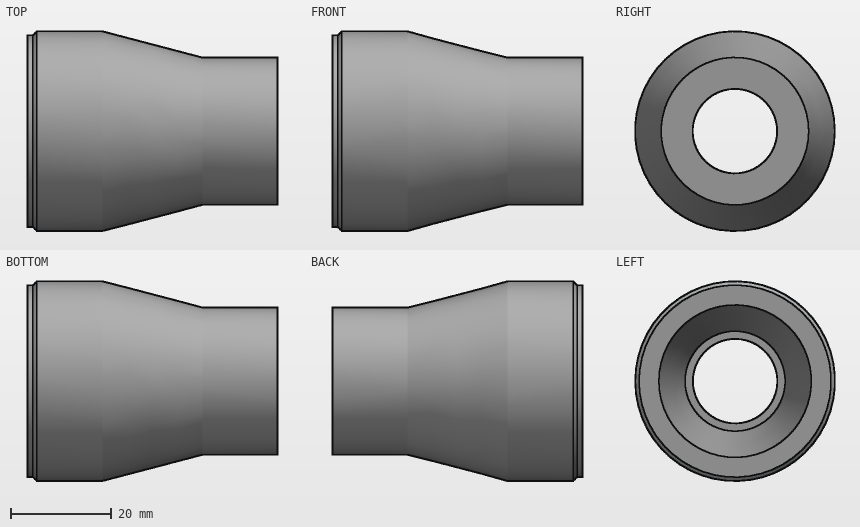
import cadquery as cq

length = 50.0
large_end = 15.0
small_start = 35.0

large_radius = 40.0 / 2
small_radius = 29.5 / 2
lip_radius = 38.4 / 2

lip_length = 1.1
lip_chamfer = large_radius - lip_radius

large_bore_radius = 30.5 / 2
throat_radius = 20.0 / 2
small_bore_radius = 16.85 / 2
large_bore_depth = 13.0


def revolve_about_x(profile):
    return profile.close().revolve(360, (0, 0, 0), (1, 0, 0))


body = revolve_about_x(
    cq.Workplane("XY")
    .lineTo(0, lip_radius)
    .lineTo(lip_length, lip_radius)
    .lineTo(lip_length + lip_chamfer, large_radius)
    .lineTo(large_end, large_radius)
    .lineTo(small_start, small_radius)
    .lineTo(length, small_radius)
    .lineTo(length, 0)
)

bore = revolve_about_x(
    cq.Workplane("XY")
    .lineTo(0, large_bore_radius)
    .lineTo(large_bore_depth, large_bore_radius)
    .lineTo(small_start, throat_radius)
    .lineTo(small_start, small_bore_radius)
    .lineTo(length, small_bore_radius)
    .lineTo(length, 0)
)

result = body.cut(bore).translate((-length / 2, 0, 0))